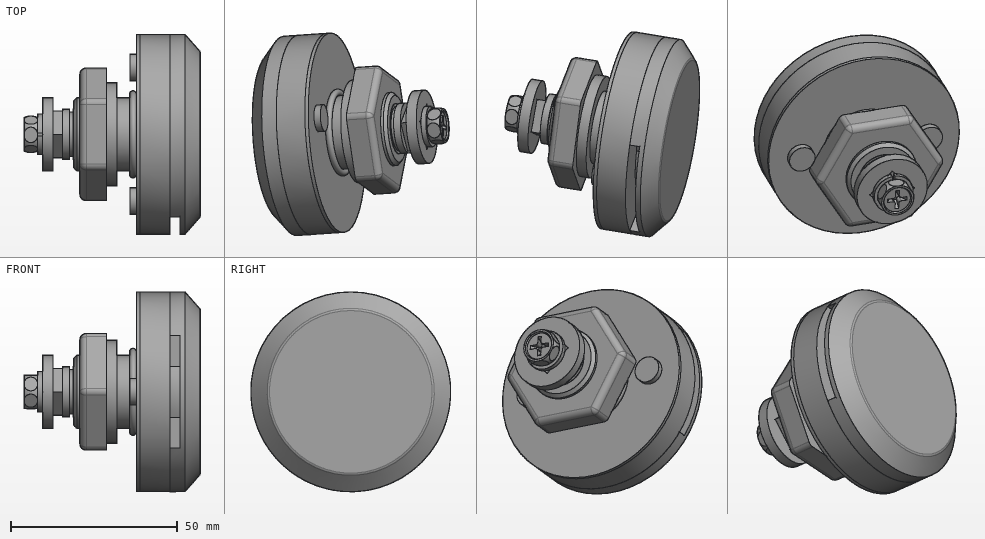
import cadquery as cq
import math


DISC_R = 30.0
GASKET_T = 1.1
DISC_BACK_X = 10.0
KNOB_RIM_X = 14.6
KNOB_END_X = 19.2
KNOB_END_R = 24.8
KNOB_EDGE_FILLET = 1.0

SLOT_W = 3.05
SLOT_HALF_H = 16.85
SLOT_CORE_R = 18.2
SLOT_FLOOR_Y = -16.5

PIN_R = 4.0
PIN_OFFSET = 20.05
PIN_PROUD = 2.0

SLEEVE_R = 11.05
SLEEVE_END_X = -18.85
SLEEVE_CHAMFER = 1.0

RING_SECTION_R = 1.0

NUT_FRONT_X = -17.0
NUT_BACK_X = -8.9
NUT_FLATS = 35.05
NUT_FILLET = 2.0
COLLAR_R = 15.5
COLLAR_LENGTH = 3.05

SHAFT_R = 7.55
SHAFT_PROUD = 0.1
GROOVE_R = 6.7
GROOVE_W = 1.0
SHAFT_END_X = -22.1
SQUARE_DIAGONAL = 14.1

CAM_R = SLEEVE_R
CAM_FRONT_X = -28.15
CAM_T = 3.2

SPRING_R = 6.1
SPRING_T = 1.5
SPRING_GAP = 0.9

HEAD_LENGTH = 4.0
HEAD_FLATS = 10.0
HEAD_END_R = 5.05
HEAD_MID_R = 5.5
HEAD_TURN = 2.0
DISH_OUTER_R = 4.45
DISH_FLOOR_R = 4.15
DISH_DEPTH = 0.5
CROSS_SPAN = 6.1
CROSS_FLOOR_SPAN = 3.0
CROSS_ARM_W = 1.15
CROSS_DEPTH = 2.7
CROSS_FILLET = 0.7
SHANK_R = 3.0
SHANK_LENGTH = 15.0

CAM_BACK_X = CAM_FRONT_X + CAM_T
SPRING_FRONT_X = CAM_FRONT_X - SPRING_T
HEAD_FRONT_X = SPRING_FRONT_X - HEAD_LENGTH
SHANK_END_X = SPRING_FRONT_X + SHANK_LENGTH
RING_R = SLEEVE_R + RING_SECTION_R


def turned(profile):
    """Solid of revolution about the X axis from (x, radius) points."""
    return (
        cq.Workplane("XZ")
        .polyline(profile)
        .close()
        .revolve(360, (0, 0), (1, 0))
    )


def cylinder(x_start, x_end, radius):
    return turned([(x_start, 0), (x_end, 0), (x_end, radius), (x_start, radius)])


def hexagon(x_start, x_end, across_flats):
    """Hexagonal bar along X with corners on +Y and -Y."""
    across_corners = across_flats / math.cos(math.radians(30))
    return (
        cq.Workplane("YZ", origin=(x_start, 0, 0))
        .polygon(6, across_corners)
        .extrude(x_end - x_start)
    )


def square_bar(x_start, x_end):
    """Square bar along X with corners on the Y and Z axes."""
    return (
        cq.Workplane("YZ", origin=(x_start, 0, 0))
        .polygon(4, SQUARE_DIAGONAL)
        .extrude(x_end - x_start)
    )


def locating_pins():
    """The two housing pins, from the gasket seat outward."""
    pin = cylinder(-PIN_PROUD, GASKET_T, PIN_R)
    return [pin.translate((0, side * PIN_OFFSET, 0)) for side in (-1, 1)]


def make_housing():
    body = turned([
        (SLEEVE_END_X, 0),
        (SLEEVE_END_X, SLEEVE_R - SLEEVE_CHAMFER),
        (SLEEVE_END_X + SLEEVE_CHAMFER, SLEEVE_R),
        (GASKET_T, SLEEVE_R),
        (GASKET_T, DISC_R),
        (DISC_BACK_X, DISC_R),
        (DISC_BACK_X, 0),
    ])
    for pin in locating_pins():
        body = body.union(pin)
    return body.cut(cylinder(SLEEVE_END_X, DISC_BACK_X, SHAFT_R))


def make_gasket():
    gasket = cylinder(0, GASKET_T, DISC_R).cut(cylinder(0, GASKET_T, SLEEVE_R))
    for pin in locating_pins():
        gasket = gasket.cut(pin)
    return gasket


def make_o_ring():
    return cq.Workplane(cq.Solid.makeTorus(
        RING_R, RING_SECTION_R, cq.Vector(-RING_SECTION_R, 0, 0), cq.Vector(1, 0, 0)
    ))


def make_nut():
    nut = (
        hexagon(NUT_FRONT_X, NUT_BACK_X, NUT_FLATS)
        .edges("|X").fillet(NUT_FILLET)
        .faces("<X").edges().fillet(NUT_FILLET)
    )
    collar_back_x = NUT_BACK_X + COLLAR_LENGTH
    nut = nut.union(cylinder(NUT_BACK_X, collar_back_x, COLLAR_R))
    return nut.cut(cylinder(NUT_FRONT_X, collar_back_x, SLEEVE_R))


def knob_slot():
    block = (
        cq.Workplane("XZ", origin=(0, SLOT_FLOOR_Y, 0))
        .rect(SLOT_W, 2 * SLOT_HALF_H)
        .extrude(DISC_R)
        .translate((DISC_BACK_X + SLOT_W / 2, 0, 0))
    )
    return block.cut(cylinder(DISC_BACK_X, DISC_BACK_X + SLOT_W, SLOT_CORE_R))


def grooved_shaft():
    """Round shaft with a groove just outside the sleeve end."""
    groove_back_x = SLEEVE_END_X - SHAFT_PROUD
    groove_front_x = groove_back_x - GROOVE_W
    shaft = cylinder(groove_back_x, DISC_BACK_X, SHAFT_R)
    neck = cylinder(groove_front_x, groove_back_x, GROOVE_R)
    collar = cylinder(SHAFT_END_X, groove_front_x, SHAFT_R)
    return shaft.union(neck).union(collar)


def make_spindle():
    knob = turned([
        (DISC_BACK_X, 0),
        (DISC_BACK_X, DISC_R),
        (KNOB_RIM_X, DISC_R),
        (KNOB_END_X, KNOB_END_R),
        (KNOB_END_X, 0),
    ])
    knob = knob.faces(">X").edges().fillet(KNOB_EDGE_FILLET).cut(knob_slot())
    spindle = knob.union(grooved_shaft()).union(square_bar(CAM_FRONT_X, SHAFT_END_X))
    return spindle.cut(cylinder(CAM_FRONT_X, SHANK_END_X, SHANK_R))


def make_cam():
    disc = cylinder(CAM_FRONT_X, CAM_BACK_X, CAM_R).rotate((0, 0, 0), (1, 0, 0), 45)
    return disc.cut(square_bar(CAM_FRONT_X, CAM_BACK_X))


def make_spring_washer():
    ring = cylinder(SPRING_FRONT_X, CAM_FRONT_X, SPRING_R)
    ring = ring.cut(cylinder(SPRING_FRONT_X, CAM_FRONT_X, SHANK_R))
    gap = (
        cq.Workplane("XY")
        .box(SPRING_T, SPRING_GAP, SPRING_R, centered=(False, True, False))
        .translate((SPRING_FRONT_X, 0, 0))
    )
    return ring.cut(gap)


def screw_head():
    """Hexagon rounded by a barrel, so each flat ends in a rounded outline."""
    barrel = (
        cq.Workplane("XZ")
        .moveTo(HEAD_FRONT_X, 0)
        .lineTo(HEAD_FRONT_X, HEAD_END_R)
        .threePointArc(
            (HEAD_FRONT_X + HEAD_LENGTH / 2, HEAD_MID_R),
            (SPRING_FRONT_X, HEAD_END_R),
        )
        .lineTo(SPRING_FRONT_X, 0)
        .close()
        .revolve(360, (0, 0), (1, 0))
    )
    dish = turned([
        (HEAD_FRONT_X, 0),
        (HEAD_FRONT_X, DISH_OUTER_R),
        (HEAD_FRONT_X + DISH_DEPTH, DISH_FLOOR_R),
        (HEAD_FRONT_X + DISH_DEPTH, 0),
    ])
    return barrel.intersect(hexagon(HEAD_FRONT_X, SPRING_FRONT_X, HEAD_FLATS)).cut(dish)


def cross_recess():
    """Cross whose four arms slope inward to a smaller flat floor."""
    top_x = HEAD_FRONT_X + DISH_DEPTH
    floor_x = top_x + CROSS_DEPTH
    arm = (
        cq.Workplane("XZ")
        .polyline([
            (top_x, -CROSS_SPAN / 2),
            (top_x, CROSS_SPAN / 2),
            (floor_x, CROSS_FLOOR_SPAN / 2),
            (floor_x, -CROSS_FLOOR_SPAN / 2),
        ])
        .close()
        .extrude(CROSS_ARM_W / 2, both=True)
    )
    cross = arm.union(arm.rotate((0, 0, 0), (1, 0, 0), 90))
    return cross.edges("|X").fillet(CROSS_FILLET)


def make_screw():
    head = screw_head().cut(cross_recess())
    screw = head.union(cylinder(SPRING_FRONT_X, SHANK_END_X, SHANK_R))
    return screw.rotate((0, 0, 0), (1, 0, 0), HEAD_TURN)


housing = make_housing()
gasket = make_gasket()
o_ring = make_o_ring()
nut = make_nut()
spindle = make_spindle()
cam = make_cam()
spring_washer = make_spring_washer()
screw = make_screw()

result = cq.Compound.makeCompound([
    housing.val(),
    gasket.val(),
    o_ring.val(),
    nut.val(),
    spindle.val(),
    cam.val(),
    spring_washer.val(),
    screw.val(),
])